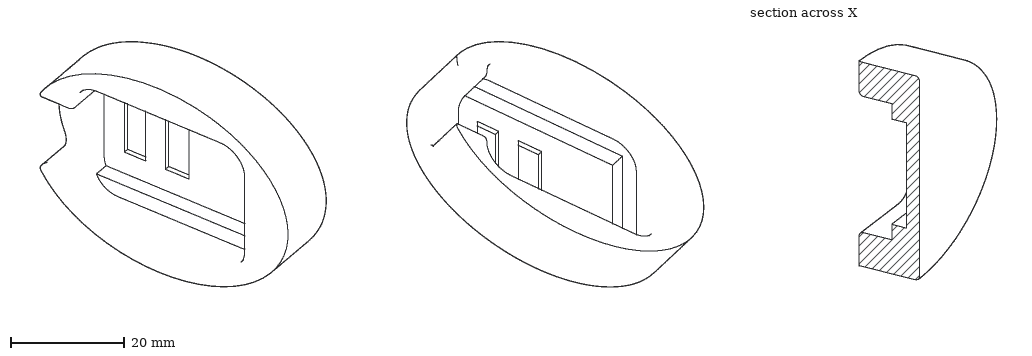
import cadquery as cq

length = 56.0
height = 40.25
depth = 12.45
edge_round = 1.0
tolerance = 0.05

pocket_length = 36.6
pocket_height = 26.65
pocket_corner = 5.05
pocket_depth = 6.7
pocket_offset = -0.15
pocket_left = pocket_offset - pocket_length / 2

notch_height = 14.1
notch_depth = 8.6
notch_corner = 1.45
mouth_limit = -25.2

recess_right = 15.1
recess_height = 20.6
notch_step = 1.05
recess_floor = notch_depth + notch_step

window_height = 11.3
window_depth = 1.0
window_spans = [(-14.1, -9.5), (-5.25, -0.2)]


def block(x_min, x_max, block_height, y_min, y_max):
    """Box centred on Z = 0 between the given X and Y limits."""
    size_x = x_max - x_min
    size_y = y_max - y_min
    return (
        cq.Workplane("XY")
        .box(size_x, size_y, block_height, centered=(False, False, True))
        .translate((x_min, y_min, 0))
    )


def oval_body():
    """Elliptical puck with a rounded back edge."""
    body = cq.Workplane("XZ").ellipse(length / 2, height / 2).extrude(-depth)
    return body.faces(">Y").edges().fillet(edge_round)


def pocket():
    """Rounded rectangle sunk from the open face."""
    shape = block(
        pocket_left, pocket_left + pocket_length, pocket_height, 0, pocket_depth
    )
    return shape.edges("|Y").fillet(pocket_corner)


def recess():
    """Rectangular step, kept inside the rounded pocket outline."""
    step = block(pocket_left, recess_right, recess_height, 0, recess_floor)
    outline = block(
        pocket_left, pocket_left + pocket_length, pocket_height, 0, recess_floor
    )
    return step.intersect(outline.edges("|Y").fillet(pocket_corner))


def notch():
    """Channel from outside the oval to the pocket, with rounded floor corners."""
    channel = block(-length, pocket_left, notch_height, 0, notch_depth)
    return channel.edges("|X and >Y").fillet(notch_corner)


def edges_in_notch(body, x_min, x_max):
    """Edges of the notch section that lie wholly between two X positions."""
    z_limit = notch_height / 2 + tolerance
    region = cq.selectors.BoxSelector(
        (x_min, -tolerance, -z_limit),
        (x_max, notch_depth + tolerance, z_limit),
        boundingbox=True,
    )
    return [edge for edge in body.edges(region).vals() if edge.Length() > tolerance]


def round_rims(body):
    """Round the face rim together with the outer and inner mouths of the notch."""
    face_rim = body.faces("<Y").edges("%LINE or %CIRCLE").vals()
    outer_mouth = edges_in_notch(body, -length, mouth_limit)
    inner_mouth = edges_in_notch(body, pocket_left - tolerance, pocket_left + tolerance)
    return body.newObject(face_rim + outer_mouth + inner_mouth).fillet(edge_round)


result = oval_body().cut(pocket()).cut(recess()).cut(notch())
result = round_rims(result)
for x_min, x_max in window_spans:
    window = block(x_min, x_max, window_height, 0, recess_floor + window_depth)
    result = result.cut(window)